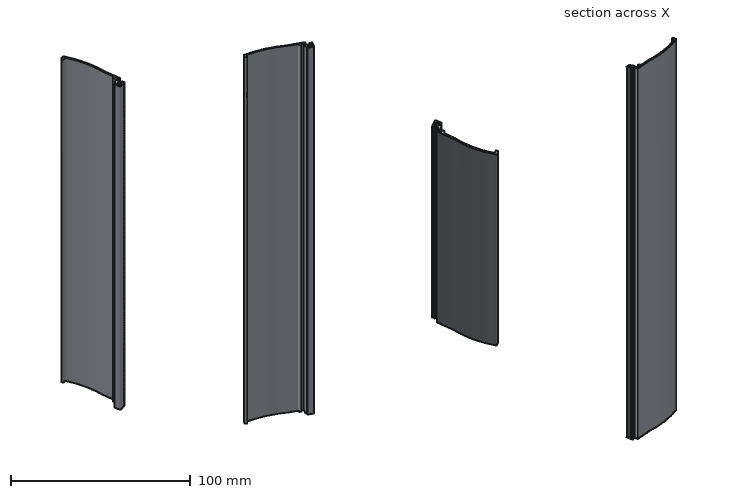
import cadquery as cq
import math

length = 250.0
width = 40.0
height = 6.5

crown_x = 18.0
crown_radius = 63.8
cover_thickness = 0.88
arc_start_x = 0.8
arc_end_x = 26.2

lip_width = 1.5
lip_bottom = 1.5
lip_round = 0.5

rib_left = 32.2
rib_width = 1.5
rib_bottom = 3.8
rib_round = 0.5

lip_root_fillet = 0.8
rib_root_fillet = 0.5

wall_left = 35.2
wall_right = 36.2
channel_inner_left = 37.0
channel_inner_top = 3.8
channel_floor = 1.2
wall_bottom = 1.2
wall_round = 0.8
channel_right_round = 0.8
hook_wall = 1.0
hook_depth = 0.8
hook_top = 4.5
hook_bottom = 2.8
hook_notch = 0.5

crown_center_y = height - crown_radius
inner_radius = crown_radius - cover_thickness


def arc_point(radius, x):
    """Point at x on an arc concentric with the cover's crown."""
    return x, crown_center_y + math.sqrt(radius**2 - (x - crown_x) ** 2)


outer_start = arc_point(crown_radius, arc_start_x)
outer_end = arc_point(crown_radius, arc_end_x)
inner_start = arc_point(inner_radius, arc_start_x)
inner_end = arc_point(inner_radius, arc_end_x)
strip_top = outer_end[1]
strip_bottom = inner_end[1]


def extrude(section):
    return section.close().extrude(length)


def box(left, right, bottom, top):
    section = cq.Workplane("XY").moveTo(left, bottom).lineTo(right, bottom)
    return extrude(section.lineTo(right, top).lineTo(left, top))


def edge_at(x, y):
    """Selector for the lengthwise edge that passes through (x, y)."""
    return cq.selectors.NearestToPointSelector((x, y, length / 2))


def make_cover():
    section = (
        cq.Workplane("XY")
        .moveTo(*outer_start)
        .threePointArc(arc_point(crown_radius, crown_x), outer_end)
        .lineTo(wall_right, strip_top)
        .lineTo(wall_right, strip_bottom)
        .lineTo(*inner_end)
        .threePointArc(arc_point(inner_radius, crown_x), inner_start)
    )
    return extrude(section)


def make_lip():
    lip = box(0, lip_width, lip_bottom, outer_start[1])
    return lip.edges("|Z and (<Y or <X)").fillet(lip_round)


def make_rib():
    rib = box(rib_left, rib_left + rib_width, rib_bottom, strip_top)
    return rib.edges("|Z and <Y").fillet(rib_round)


def make_channel():
    hook_wall_left = width - hook_wall
    hook_tip = hook_wall_left - hook_depth
    section = (
        cq.Workplane("XY")
        .moveTo(wall_left, strip_top)
        .lineTo(wall_left, wall_bottom + wall_round)
        .radiusArc((wall_left + wall_round, wall_bottom), -wall_round)
        .lineTo(wall_left + wall_round, 0)
        .lineTo(width - channel_right_round, 0)
        .radiusArc((width, channel_right_round), -channel_right_round)
        .lineTo(width, hook_top)
        .lineTo(width - hook_notch, hook_top)
        .lineTo(hook_wall_left, hook_top - hook_notch)
        .lineTo(hook_tip, hook_top)
        .lineTo(hook_tip, hook_bottom)
        .lineTo(hook_wall_left, hook_bottom)
        .lineTo(hook_wall_left, channel_floor)
        .lineTo(channel_inner_left, channel_floor)
        .lineTo(channel_inner_left, channel_inner_top)
        .lineTo(wall_right, channel_inner_top)
        .lineTo(wall_right, strip_top)
    )
    return extrude(section)


result = make_cover().union(make_lip()).union(make_rib()).union(make_channel())

lip_root = arc_point(inner_radius, lip_width)
result = result.edges(edge_at(*lip_root)).fillet(lip_root_fillet)
for rib_side in (rib_left, rib_left + rib_width):
    result = result.edges(edge_at(rib_side, strip_bottom)).fillet(rib_root_fillet)